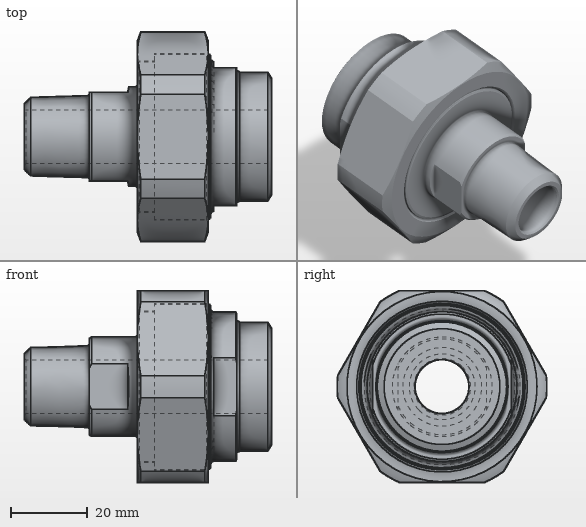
import cadquery as cq
import math

total_length = 64.5
bore_radius = 14.0 / 2
cut_margin = 0.65

tail_end_radius = 8.6
tail_bore_chamfer = 0.4
taper_start_x = 1.75
taper_start_radius = 10.25
taper_end_radius = 10.7
shoulder_x = 16.9
taper_fillet = 0.3
collar_radius = 26.0 / 2
collar_chamfer_length = 0.65
collar_chamfer_depth = 0.485
collar_fillet = 0.4
tail_flange_radius = 39.0 / 2
tail_flange_chamfer_length = 0.2
tail_flange_chamfer_depth = 0.6
tail_flats_width = 23.15
tail_flats_end_x = 26.95
tail_flats_wall_lean = 0.4

nut_start_x = 29.4
nut_end_x = 48.0
nut_across_flats = 50.0
nut_corner_radius = 54.7 / 2
nut_face_radius = 24.8
nut_chamfer_length = 0.95
nut_lip_length = 4.5
nut_lip_radius = 39.5 / 2
nut_bore_radius = 43.35 / 2
nut_mouth_chamfer = 0.6

seat_x = nut_start_x + nut_lip_length
thread_radius = 43.0 / 2
thread_end_x = 48.6
thread_chamfer = 0.4
hub_radius = 39.0 / 2
hub_fillet = 0.8
hub_end_x = 55.4
hub_chamfer_length = 0.3
hub_chamfer_depth = 0.6
hub_flats_width = 36.0
hub_flats_start_x = thread_end_x + hub_fillet
spigot_radius = 33.7 / 2
spigot_fillet_length = 0.8
spigot_fillet_height = 0.4
spigot_chamfer_length = 1.1
spigot_chamfer_depth = 1.75


def turn(profile):
    """Revolve an (X, radius) profile about the X axis."""
    return profile.close().revolve(360, (0, 0, 0), (1, 0, 0))


def concave_middle(start, end):
    """Middle of a quarter-round fillet that leaves along X at one end and radially at the other.

    The corner of the fillet has the X of its radial end and the radius of its axial end.
    """
    (axial_x, axial_radius), (radial_x, radial_radius) = start, end
    bulge = math.sqrt(0.5)
    return (
        axial_x + (radial_x - axial_x) * bulge,
        axial_radius + (radial_radius - axial_radius) * (1 - bulge),
    )


def cut_side_flats(solid, start_x, end_x, width, outer_radius, wall_lean=0.0):
    """Cut two flats facing +Y and -Y; the wall at end_x leans outward by wall_lean."""
    inner = width / 2
    outer = outer_radius + cut_margin
    for side in (-1, 1):
        cutter = (
            cq.Workplane("XY")
            .moveTo(start_x, side * inner)
            .lineTo(end_x, side * inner)
            .lineTo(end_x + wall_lean, side * outer)
            .lineTo(start_x, side * outer)
            .close()
            .extrude(outer_radius, both=True)
        )
        solid = solid.cut(cutter)
    return solid


def make_tailpiece():
    """Tapered pipe end, collar with wrench flats, and the flange held by the nut."""
    taper_end = (shoulder_x - taper_fillet, taper_end_radius)
    taper_fillet_end = (shoulder_x, taper_end_radius + taper_fillet)
    collar_end = (nut_start_x - collar_fillet, collar_radius)
    collar_fillet_end = (nut_start_x, collar_radius + collar_fillet)
    tail = turn(
        cq.Workplane("XY")
        .moveTo(tail_bore_chamfer, bore_radius)
        .lineTo(0, bore_radius + tail_bore_chamfer)
        .lineTo(0, tail_end_radius)
        .lineTo(taper_start_x, taper_start_radius)
        .lineTo(*taper_end)
        .threePointArc(concave_middle(taper_end, taper_fillet_end), taper_fillet_end)
        .lineTo(shoulder_x, collar_radius - collar_chamfer_depth)
        .lineTo(shoulder_x + collar_chamfer_length, collar_radius)
        .lineTo(*collar_end)
        .threePointArc(concave_middle(collar_end, collar_fillet_end), collar_fillet_end)
        .lineTo(nut_start_x, tail_flange_radius - tail_flange_chamfer_depth)
        .lineTo(nut_start_x + tail_flange_chamfer_length, tail_flange_radius)
        .lineTo(seat_x, tail_flange_radius)
        .lineTo(seat_x, bore_radius)
    )
    return cut_side_flats(
        tail, shoulder_x, tail_flats_end_x, tail_flats_width, collar_radius, tail_flats_wall_lean
    )


def make_nut():
    """Hexagon nut with rounded corners, chamfered faces and an inward front lip."""
    corner_to_corner = nut_across_flats / math.cos(math.pi / 6)
    hexagon = (
        cq.Workplane("YZ", origin=(nut_start_x, 0, 0))
        .polygon(6, corner_to_corner)
        .extrude(nut_end_x - nut_start_x)
    )
    ring = turn(
        cq.Workplane("XY")
        .moveTo(nut_start_x, nut_lip_radius + nut_mouth_chamfer)
        .lineTo(nut_start_x, nut_face_radius)
        .lineTo(nut_start_x + nut_chamfer_length, nut_corner_radius)
        .lineTo(nut_end_x - nut_chamfer_length, nut_corner_radius)
        .lineTo(nut_end_x, nut_face_radius)
        .lineTo(nut_end_x, nut_bore_radius + nut_mouth_chamfer)
        .lineTo(nut_end_x - nut_mouth_chamfer, nut_bore_radius)
        .lineTo(seat_x, nut_bore_radius)
        .lineTo(seat_x, nut_lip_radius)
        .lineTo(nut_start_x + nut_mouth_chamfer, nut_lip_radius)
    )
    return hexagon.intersect(ring)


def make_body():
    """Threaded part inside the nut, hub with wrench flats, and end spigot."""
    hub_start = (thread_end_x + hub_fillet, hub_radius)
    hub_fillet_top = (thread_end_x, hub_radius + hub_fillet)
    spigot_start = (hub_end_x + spigot_fillet_length, spigot_radius)
    spigot_fillet_top = (hub_end_x, spigot_radius + spigot_fillet_height)
    body = turn(
        cq.Workplane("XY")
        .moveTo(seat_x, bore_radius)
        .lineTo(seat_x, thread_radius)
        .lineTo(thread_end_x - thread_chamfer, thread_radius)
        .lineTo(thread_end_x, thread_radius - thread_chamfer)
        .lineTo(*hub_fillet_top)
        .threePointArc(concave_middle(hub_start, hub_fillet_top), hub_start)
        .lineTo(hub_end_x - hub_chamfer_length, hub_radius)
        .lineTo(hub_end_x, hub_radius - hub_chamfer_depth)
        .lineTo(*spigot_fillet_top)
        .lineTo(*spigot_start)
        .lineTo(total_length - spigot_chamfer_length, spigot_radius)
        .lineTo(total_length, spigot_radius - spigot_chamfer_depth)
        .lineTo(total_length, bore_radius)
    )
    return cut_side_flats(body, hub_flats_start_x, hub_end_x, hub_flats_width, hub_radius)


tailpiece = make_tailpiece()
nut = make_nut()
body = make_body()

result = cq.Compound.makeCompound([tailpiece.val(), nut.val(), body.val()])